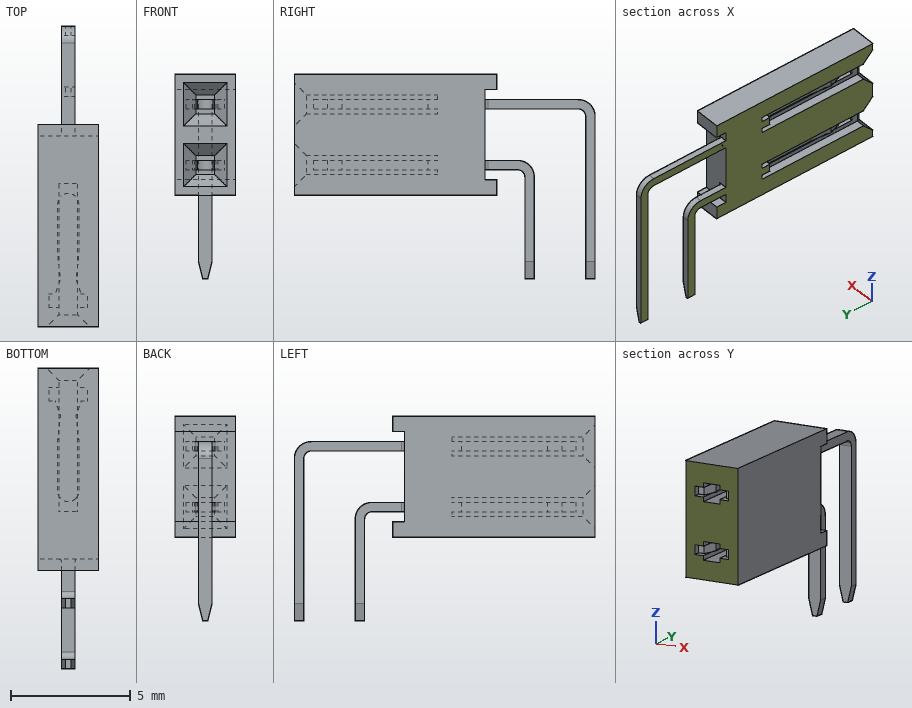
import cadquery as cq
import math


PITCH = 2.55
ROWS = 2
HOUSING_WIDTH = PITCH
HOUSING_HEIGHT = 5.08
HOUSING_LENGTH = 8.48
NOTCH_DEPTH = 0.49
NOTCH_LIP = 0.65
NOTCH_FLOOR_Y = HOUSING_LENGTH - NOTCH_DEPTH

MOUTH_SIZE = 1.81
HOLE_SIZE = 0.8
FUNNEL_DEPTH = (MOUTH_SIZE - HOLE_SIZE) / 2
HOLE_DEPTH = 6.0

SHEET = 0.4
FORK_WIDTH = 1.61
FORK_SLOT_START = 0.81
FORK_TIP_Y = 1.39
FORK_TIP_GAP = 1.08
FORK_PINCH_Y = 1.99
FORK_PINCH_GAP = 0.65
FORK_RELIEF_LENGTH = 1.01
FORK_BASE_RADIUS = 0.44
FORK_BASE_THICKNESS = 0.4

LEAD_WIDTH = 0.58
LEAD_ROOT_RADIUS = 0.11
LEAD_END_Y = 12.6
LEAD_BOTTOM_Z = -3.5
BEND_OUTER_RADIUS = 0.7
BEND_INNER_RADIUS = BEND_OUTER_RADIUS - SHEET
TIP_LENGTH = 0.73
TIP_WIDTH = 0.21


def make_housing():
    """Block with a rear notch that runs across its full width."""
    block = cq.Workplane("XY").box(
        HOUSING_WIDTH, HOUSING_LENGTH, HOUSING_HEIGHT, centered=(True, False, False)
    )
    notch = (
        cq.Workplane("XY", origin=(0, NOTCH_FLOOR_Y, NOTCH_LIP))
        .box(HOUSING_WIDTH, NOTCH_DEPTH, HOUSING_HEIGHT - 2 * NOTCH_LIP, centered=(True, False, False))
    )
    return block.cut(notch)


def make_socket(row_z):
    """Void of one socket: funnel mouth, square hole and the flat slot that houses the fork."""
    funnel = (
        cq.Workplane("XZ", origin=(0, 0, row_z))
        .rect(MOUTH_SIZE, MOUTH_SIZE)
        .workplane(offset=-FUNNEL_DEPTH)
        .rect(HOLE_SIZE, HOLE_SIZE)
        .loft(ruled=True)
    )
    hole = (
        cq.Workplane("XZ", origin=(0, FUNNEL_DEPTH, row_z))
        .rect(HOLE_SIZE, HOLE_SIZE)
        .extrude(FUNNEL_DEPTH - HOLE_DEPTH)
    )
    fork_slot = (
        cq.Workplane("XZ", origin=(0, FORK_SLOT_START, row_z))
        .rect(FORK_WIDTH, SHEET)
        .extrude(FORK_SLOT_START - HOLE_DEPTH)
    )
    return funnel.union(hole).union(fork_slot)


def make_fork(row_z):
    """Two tines with flared tips that pinch the mating pin, joined by a round base."""
    arc_bottom_y = HOLE_DEPTH - FORK_BASE_THICKNESS
    arc_start_y = arc_bottom_y - FORK_BASE_RADIUS
    relief_y = FORK_PINCH_Y + FORK_RELIEF_LENGTH
    return (
        cq.Workplane("XY", origin=(0, 0, row_z - SHEET / 2))
        .moveTo(-FORK_WIDTH / 2, FORK_TIP_Y)
        .lineTo(-FORK_TIP_GAP / 2, FORK_TIP_Y)
        .lineTo(-FORK_PINCH_GAP / 2, FORK_PINCH_Y)
        .lineTo(-FORK_BASE_RADIUS, relief_y)
        .lineTo(-FORK_BASE_RADIUS, arc_start_y)
        .threePointArc((0, arc_bottom_y), (FORK_BASE_RADIUS, arc_start_y))
        .lineTo(FORK_BASE_RADIUS, relief_y)
        .lineTo(FORK_PINCH_GAP / 2, FORK_PINCH_Y)
        .lineTo(FORK_TIP_GAP / 2, FORK_TIP_Y)
        .lineTo(FORK_WIDTH / 2, FORK_TIP_Y)
        .lineTo(FORK_WIDTH / 2, HOLE_DEPTH)
        .lineTo(-FORK_WIDTH / 2, HOLE_DEPTH)
        .close()
        .extrude(SHEET)
    )


def make_lead(row_z, end_y):
    """Strip that leaves the notch floor, bends down and ends in a tapered tip."""
    top_z = row_z + SHEET / 2
    bend_y = end_y - BEND_OUTER_RADIUS
    bend_z = top_z - BEND_OUTER_RADIUS
    diagonal = math.sqrt(0.5)
    strip = (
        cq.Workplane("YZ", origin=(-LEAD_WIDTH / 2, 0, 0))
        .moveTo(NOTCH_FLOOR_Y, top_z)
        .lineTo(bend_y, top_z)
        .threePointArc(
            (bend_y + BEND_OUTER_RADIUS * diagonal, bend_z + BEND_OUTER_RADIUS * diagonal),
            (end_y, bend_z),
        )
        .lineTo(end_y, LEAD_BOTTOM_Z)
        .lineTo(end_y - SHEET, LEAD_BOTTOM_Z)
        .lineTo(end_y - SHEET, bend_z)
        .threePointArc(
            (bend_y + BEND_INNER_RADIUS * diagonal, bend_z + BEND_INNER_RADIUS * diagonal),
            (bend_y, top_z - SHEET),
        )
        .lineTo(NOTCH_FLOOR_Y, top_z - SHEET)
        .close()
        .extrude(LEAD_WIDTH)
    )
    tip_chamfer = (LEAD_WIDTH - TIP_WIDTH) / 2
    strip = strip.faces("<Z").edges("|Y").chamfer(tip_chamfer, TIP_LENGTH)
    return strip.union(make_lead_root(row_z))


def make_lead_root(row_z):
    """Foot of the lead, widened by a concave radius on each side where it meets the notch floor."""
    half_width = LEAD_WIDTH / 2
    foot_half_width = half_width + LEAD_ROOT_RADIUS
    end_y = NOTCH_FLOOR_Y + LEAD_ROOT_RADIUS
    inset = LEAD_ROOT_RADIUS * (1 - math.sqrt(0.5))
    return (
        cq.Workplane("XY", origin=(0, 0, row_z - SHEET / 2))
        .moveTo(-foot_half_width, NOTCH_FLOOR_Y)
        .threePointArc((-half_width - inset, NOTCH_FLOOR_Y + inset), (-half_width, end_y))
        .lineTo(half_width, end_y)
        .threePointArc((half_width + inset, NOTCH_FLOOR_Y + inset), (foot_half_width, NOTCH_FLOOR_Y))
        .close()
        .extrude(SHEET)
    )


result = make_housing()
for row in range(ROWS):
    row_z = HOUSING_HEIGHT / 2 + (row - (ROWS - 1) / 2) * PITCH
    lead_end_y = LEAD_END_Y - (ROWS - 1 - row) * PITCH
    result = (
        result.cut(make_socket(row_z))
        .union(make_fork(row_z))
        .union(make_lead(row_z, lead_end_y))
    )